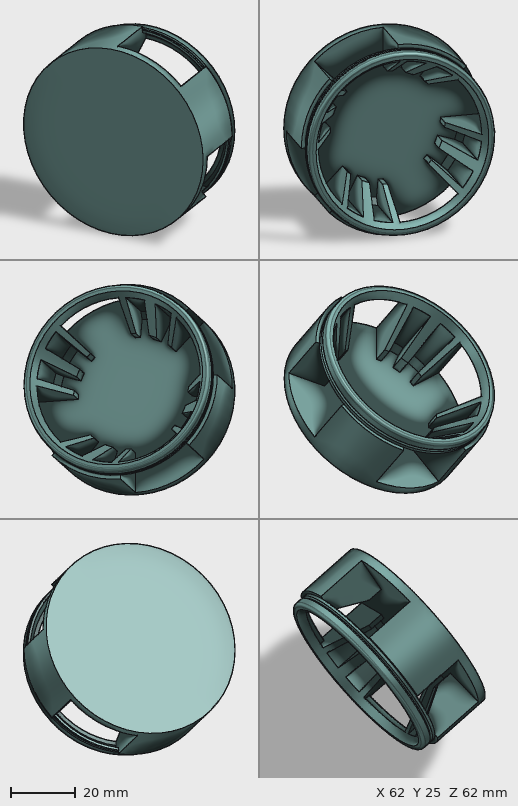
import cadquery as cq

body_radius = 31.0
body_depth = 20.0
total_depth = 25.0
floor_thickness = 3.0

ring_radius = 29.75
ring_fillet = 1.0
groove_depth = 0.5
groove_center = 21.5

bore_radius = 18.35
cone_start = 8.1
cone_end_radius = 27.65

sector_count = 4
sector_pitch = 360 / sector_count
sector_angle = sector_pitch / 2
window_roof = 22.25
ring_inner_radius = 28.95
roof_bevel = 1.5

pocket_radius = 26.2
pocket_chamfer = 2.05
side_wall_angle = 5.0
rib_angle = 8.2
pocket_angle = (sector_angle - 2 * side_wall_angle - rib_angle) / 2


def revolve(points, start=0.0, sweep=360.0):
    """Turn a (radius, depth) outline about Y; angles run from +X towards +Z."""
    solid = cq.Workplane("XY").polyline(points).close().revolve(sweep, (0, 0), (0, -1))
    return solid.rotate((0, 0, 0), (0, -1, 0), start)


def make_blank():
    body = cq.Workplane("XZ").circle(body_radius).extrude(-body_depth)
    ring = cq.Workplane("XZ").circle(ring_radius).extrude(-total_depth)
    ring = ring.faces(">Y").edges().fillet(ring_fillet)
    groove = revolve([
        (ring_radius, groove_center - groove_depth),
        (ring_radius - groove_depth, groove_center),
        (ring_radius, groove_center + groove_depth),
    ])
    return body.union(ring).cut(groove)


def make_bore():
    return revolve([
        (0, floor_thickness),
        (bore_radius, floor_thickness),
        (bore_radius, cone_start),
        (cone_end_radius, total_depth),
        (0, total_depth),
    ])


def make_window(start):
    """Opening through the outer wall, reaching under the ring with a bevelled roof."""
    outside = body_radius + 0.6
    return revolve([
        (0, floor_thickness),
        (outside, floor_thickness),
        (outside, body_depth),
        (ring_inner_radius, body_depth),
        (ring_inner_radius, window_roof + roof_bevel),
        (ring_inner_radius - roof_bevel, window_roof),
        (0, window_roof),
    ], start, sector_angle)


def make_pocket(start):
    """Hollow open to the bore, chamfered where its outer wall meets the floor."""
    return revolve([
        (0, floor_thickness),
        (pocket_radius - pocket_chamfer, floor_thickness),
        (pocket_radius, floor_thickness + pocket_chamfer),
        (pocket_radius, window_roof),
        (0, window_roof),
    ], start, pocket_angle)


result = make_blank().cut(make_bore())
for index in range(sector_count):
    sector_start = index * sector_pitch
    first_pocket = sector_start + side_wall_angle
    second_pocket = first_pocket + pocket_angle + rib_angle
    result = result.cut(make_window(sector_start + sector_angle))
    result = result.cut(make_pocket(first_pocket))
    result = result.cut(make_pocket(second_pocket))